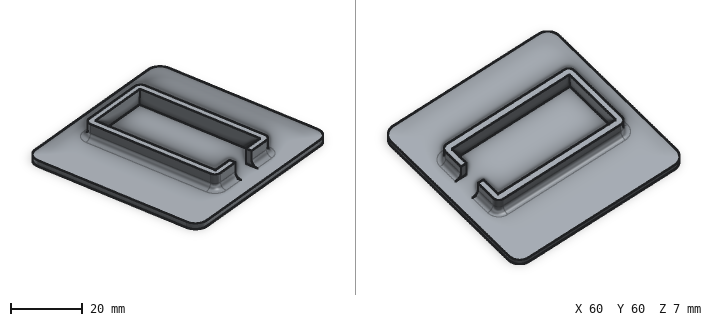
import cadquery as cq

plate_side = 60
plate_thickness = 2.0
plate_corner_radius = 4.0

total_height = 7.0
rim_length = 45.95
rim_width = 25.0
rim_corner_radius = 2.0
foot_fillet_radius = 2.0

tray_length = 42
tray_floor_width = 20.0
tray_top_width = 20.5

gap_width = 7.5

rim_height = total_height - plate_thickness


def make_plate():
    """Square plate with rounded corners, resting on Z = 0."""
    plate = cq.Workplane("XY").box(plate_side, plate_side, plate_thickness, centered=(True, True, False))
    return plate.edges("|Z").fillet(plate_corner_radius)


def add_rim_block(plate):
    """Raise a rounded block on the plate and blend its foot into the plate."""
    block = (
        cq.Workplane("XY", origin=(0, 0, plate_thickness))
        .box(rim_length, rim_width, rim_height, centered=(True, True, False))
        .edges("|Z")
        .fillet(rim_corner_radius)
    )
    foot_reach_x = rim_length / 2 + foot_fillet_radius
    foot_reach_y = rim_width / 2 + foot_fillet_radius
    foot_zone = cq.selectors.BoxSelector(
        (-foot_reach_x, -foot_reach_y, plate_thickness / 2),
        (foot_reach_x, foot_reach_y, plate_thickness * 1.5),
    )
    return plate.union(block).edges(foot_zone).fillet(foot_fillet_radius)


def make_tray():
    """Tray space: a trapezoid across Y, extruded along X."""
    return (
        cq.Workplane("YZ")
        .moveTo(-tray_floor_width / 2, plate_thickness)
        .lineTo(tray_floor_width / 2, plate_thickness)
        .lineTo(tray_top_width / 2, total_height)
        .lineTo(-tray_top_width / 2, total_height)
        .close()
        .extrude(tray_length / 2, both=True)
    )


def make_gap():
    """Opening through the +X wall and its foot fillet, down to the plate."""
    return cq.Workplane("XY", origin=(0, 0, plate_thickness)).box(
        plate_side / 2, gap_width, rim_height, centered=(False, True, False)
    )


result = add_rim_block(make_plate()).cut(make_tray()).cut(make_gap())